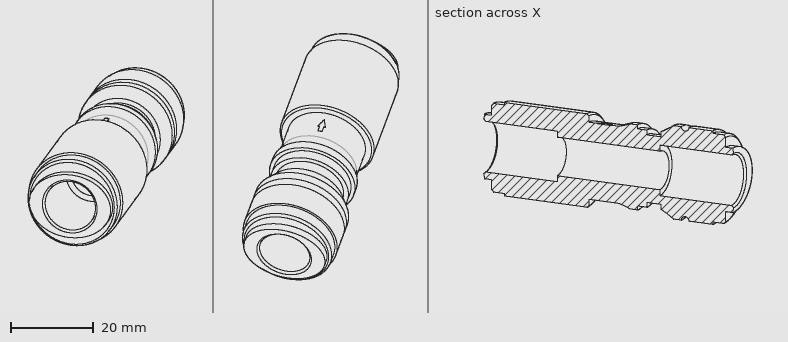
import cadquery as cq

total_length = 67.9
sleeve_radius = 11.8
collar_radius = 11.2
neck_radius = 8.55
barrel_radius = 9.75
ring_radius = 10.75

collar_start = 2.1
collar_end = 5.6
groove_start = 12.2
cone_start = 16.3
cone_end = 19.8
neck_end = 23.55
ring_start = 26.0
ring_end = 28.1
ring_taper_end = 31.2
sleeve_start = 39.3

collar_chamfer = 0.6
sleeve_chamfer = 0.5
groove_radius = 1.0

cap_half_width = 10.2
cap_half_height = 8.15
cap_crown = 0.15

bore_radius = 4.8
socket_radius = 6.3
socket_depth = 20.0
mouth_radius = 6.85
mouth_chamfer = mouth_radius - socket_radius

arrow_tail = 33.2
arrow_shoulder = 34.7
arrow_tip = 37.2
arrow_shaft_half_width = 0.52
arrow_head_half_width = 0.95
arrow_depth = 0.1

half_length = total_length / 2


def axial(station):
    """Y position of a station measured from the rear end."""
    return half_length - station


def make_body():
    """Revolve the stepped outer profile between the two caps."""
    groove_end = groove_start + 2 * groove_radius
    front_collar_start = total_length - collar_end
    front_collar_end = total_length - collar_start
    profile = (
        cq.Workplane("XY")
        .moveTo(0, axial(collar_start))
        .lineTo(collar_radius - collar_chamfer, axial(collar_start))
        .lineTo(collar_radius, axial(collar_start + collar_chamfer))
        .lineTo(collar_radius, axial(collar_end))
        .lineTo(sleeve_radius, axial(collar_end))
        .lineTo(sleeve_radius, axial(groove_start))
        .threePointArc(
            (sleeve_radius - groove_radius, axial(groove_start + groove_radius)),
            (sleeve_radius, axial(groove_end)),
        )
        .lineTo(sleeve_radius, axial(cone_start))
        .lineTo(barrel_radius, axial(cone_end))
        .lineTo(neck_radius, axial(cone_end))
        .lineTo(neck_radius, axial(neck_end))
        .lineTo(barrel_radius, axial(neck_end))
        .lineTo(barrel_radius, axial(ring_start))
        .lineTo(ring_radius, axial(ring_start))
        .lineTo(ring_radius, axial(ring_end))
        .lineTo(barrel_radius, axial(ring_taper_end))
        .lineTo(barrel_radius, axial(sleeve_start))
        .lineTo(sleeve_radius - sleeve_chamfer, axial(sleeve_start))
        .lineTo(sleeve_radius, axial(sleeve_start + sleeve_chamfer))
        .lineTo(sleeve_radius, axial(front_collar_start))
        .lineTo(collar_radius, axial(front_collar_start))
        .lineTo(collar_radius, axial(front_collar_end - collar_chamfer))
        .lineTo(collar_radius - collar_chamfer, axial(front_collar_end))
        .lineTo(0, axial(front_collar_end))
        .close()
    )
    return profile.revolve(360, (0, 0, 0), (0, 1, 0))


def make_front_cap():
    """Oval cap whose end face rises slightly from its rim to the bore mouth."""
    cap_base = half_length - collar_start
    cap_height = collar_start - cap_crown
    cap = (
        cq.Workplane("XZ", origin=(0, -cap_base, 0))
        .ellipse(cap_half_width, cap_half_height)
        .extrude(cap_height)
    )
    crown = (
        cq.Workplane("XZ", origin=(0, -cap_base - cap_height, 0))
        .ellipse(cap_half_width, cap_half_height)
        .workplane(offset=cap_crown)
        .circle(mouth_radius)
        .loft(ruled=True)
    )
    return cap.union(crown)


def make_bore():
    """Through bore with a chamfered tube socket at each end."""
    profile = (
        cq.Workplane("XY")
        .moveTo(0, -half_length)
        .lineTo(mouth_radius, -half_length)
        .lineTo(socket_radius, -half_length + mouth_chamfer)
        .lineTo(socket_radius, -half_length + socket_depth)
        .lineTo(bore_radius, -half_length + socket_depth)
        .lineTo(bore_radius, half_length - socket_depth)
        .lineTo(socket_radius, half_length - socket_depth)
        .lineTo(socket_radius, half_length - mouth_chamfer)
        .lineTo(mouth_radius, half_length)
        .lineTo(0, half_length)
        .close()
    )
    return profile.revolve(360, (0, 0, 0), (0, 1, 0))


def make_arrow():
    """Arrow pointing toward -Y, cut to a flat floor just below the barrel's crest."""
    return (
        cq.Workplane("XY", origin=(0, 0, barrel_radius - arrow_depth))
        .moveTo(-arrow_shaft_half_width, axial(arrow_tail))
        .lineTo(arrow_shaft_half_width, axial(arrow_tail))
        .lineTo(arrow_shaft_half_width, axial(arrow_shoulder))
        .lineTo(arrow_head_half_width, axial(arrow_shoulder))
        .lineTo(0, axial(arrow_tip))
        .lineTo(-arrow_head_half_width, axial(arrow_shoulder))
        .lineTo(-arrow_shaft_half_width, axial(arrow_shoulder))
        .close()
        .extrude(sleeve_radius - barrel_radius)
    )


front_cap = make_front_cap()
rear_cap = front_cap.mirror("XZ")
body = make_body().union(front_cap).union(rear_cap)
result = body.cut(make_bore()).cut(make_arrow())